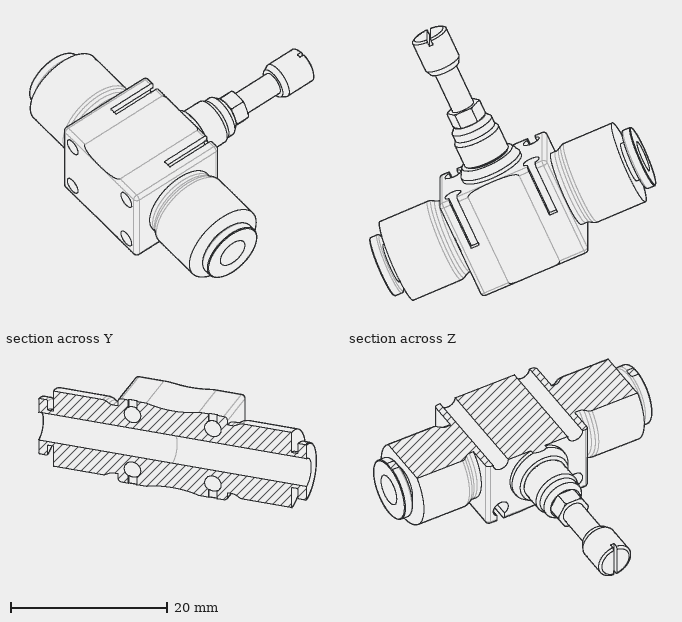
import cadquery as cq
import math


body_length = 15.0
body_height = 12.1
body_front_y = -7.18
body_back_y = 6.48
body_edge_radius = 0.5

waist_half_width = 3.6
waist_depth = 0.48

mount_hole_radius = 1.1
mount_hole_x = 5.5
mount_hole_z = 4.0
slot_width = 1.1
slot_length = 6.95

overall_length = 36.6
bore_radius = 2.0
sleeve_radius = 5.5
release_ring_radius = 4.05
release_ring_width = 1.25
release_ring_front_chamfer = 0.1
release_ring_rear_radius = 0.22
release_neck_radius = 2.6
release_neck_length = 0.77
sleeve_length = 6.75
shoulder_angle = math.radians(30)
shoulder_outer_radius = 0.88
shoulder_inner_radius = 1.1
shoulder_taper_length = 0.45

flange_radius = 4.15
flange_top_radius = 3.55
flange_taper_y = 7.0
flange_top_y = 8.05
groove_radius = 2.9
housing_radius = 3.08
housing_start_y = 8.25
housing_end_y = 11.3
collar_radius = 2.8
collar_start_y = 11.83
collar_taper_y = 12.8
collar_end_radius = 2.2
nut_start_y = 13.5
nut_end_y = 15.55
nut_across_flats = 4.0
nut_corner_chamfer = 0.15
stem_radius = 1.5
knob_radius = 2.38
knob_rim_radius = 2.0
knob_start_y = 21.3
knob_taper_length = 0.77
knob_end_y = 26.32
knob_top_chamfer_length = 0.22
driver_slot_width = 0.5
driver_slot_depth = 0.8

body_mid_y = (body_front_y + body_back_y) / 2
body_depth = body_back_y - body_front_y


def cylinder_along_y(radius, start_y, end_y, x=0.0, z=0.0):
    base = cq.Workplane("XZ", origin=(x, start_y, z))
    return base.circle(radius).extrude(start_y - end_y)


def make_body():
    block = cq.Workplane("XY").box(body_length, body_depth, body_height)
    block = block.edges().fillet(body_edge_radius).translate((0, body_mid_y, 0))

    waist_radius = (waist_half_width**2 + waist_depth**2) / (2 * waist_depth)
    waist_axis_z = body_height / 2 - waist_depth + waist_radius
    for side in (1, -1):
        waist = cylinder_along_y(waist_radius, body_front_y, body_back_y, z=side * waist_axis_z)
        block = block.cut(waist)
    return block


def cut_mounting_holes(part):
    """Four through holes, each opened to its nearest Z face by a slot from the back."""
    slot_depth = body_height / 2 - mount_hole_z
    for side_x in (1, -1):
        for side_z in (1, -1):
            x = side_x * mount_hole_x
            z = side_z * mount_hole_z
            part = part.cut(cylinder_along_y(mount_hole_radius, body_front_y, body_back_y, x, z))
            slot = cq.Workplane("XY").box(slot_width, slot_length, slot_depth)
            slot_mid_z = side_z * (mount_hole_z + slot_depth / 2)
            part = part.cut(slot.translate((x, body_back_y - slot_length / 2, slot_mid_z)))
    return part


def make_fitting():
    """Fitting on the +X end, turned about X."""
    ring_end_x = overall_length / 2
    ring_rear_x = ring_end_x - release_ring_width
    sleeve_end_x = ring_rear_x - release_neck_length
    round_start_x = sleeve_end_x - sleeve_length

    sin_full = math.sin(shoulder_angle)
    cos_full = math.cos(shoulder_angle)
    sin_half = math.sin(shoulder_angle / 2)
    cos_half = math.cos(shoulder_angle / 2)
    taper_start_x = round_start_x - shoulder_outer_radius * sin_full
    taper_start_r = sleeve_radius - shoulder_outer_radius * (1 - cos_full)
    outer_mid_x = round_start_x - shoulder_outer_radius * sin_half
    outer_mid_r = sleeve_radius - shoulder_outer_radius * (1 - cos_half)
    taper_end_x = taper_start_x - shoulder_taper_length
    taper_end_r = taper_start_r - shoulder_taper_length * math.tan(shoulder_angle)
    neck_x = taper_end_x - shoulder_inner_radius * sin_full
    neck_r = taper_end_r - shoulder_inner_radius * (1 - cos_full)
    inner_mid_x = neck_x + shoulder_inner_radius * sin_half
    inner_mid_r = neck_r + shoulder_inner_radius * (1 - cos_half)

    rear_round = release_ring_rear_radius
    rear_mid_inset = rear_round * (1 - math.sqrt(0.5))
    profile = (
        cq.Workplane("XY")
        .moveTo(0, 0)
        .lineTo(ring_end_x, 0)
        .lineTo(ring_end_x, release_ring_radius - release_ring_front_chamfer)
        .lineTo(ring_end_x - release_ring_front_chamfer, release_ring_radius)
        .lineTo(ring_rear_x + rear_round, release_ring_radius)
        .threePointArc(
            (ring_rear_x + rear_mid_inset, release_ring_radius - rear_mid_inset),
            (ring_rear_x, release_ring_radius - rear_round),
        )
        .lineTo(ring_rear_x, release_neck_radius)
        .lineTo(sleeve_end_x, release_neck_radius)
        .lineTo(sleeve_end_x, sleeve_radius)
        .lineTo(round_start_x, sleeve_radius)
        .threePointArc((outer_mid_x, outer_mid_r), (taper_start_x, taper_start_r))
        .lineTo(taper_end_x, taper_end_r)
        .threePointArc((inner_mid_x, inner_mid_r), (neck_x, neck_r))
        .lineTo(0, neck_r)
        .close()
    )
    return profile.revolve(360, (0, 0, 0), (1, 0, 0))


def make_nut():
    """Hexagon nut with flats facing +Z and -Z and its corners turned off at both ends."""
    corner_radius = nut_across_flats / math.sqrt(3)
    length = nut_end_y - nut_start_y
    base = cq.Workplane("XZ", origin=(0, nut_start_y, 0))
    hexagon = base.polygon(6, 2 * corner_radius).extrude(-length)
    envelope = base.circle(corner_radius).extrude(-length)
    envelope = envelope.edges().chamfer(nut_corner_chamfer)
    return hexagon.intersect(envelope)


def make_needle():
    """Needle housing, stem and knob turned about Y, with the nut added."""
    outline = [
        (0, 0),
        (flange_radius, 0),
        (flange_radius, flange_taper_y),
        (flange_top_radius, flange_top_y),
        (groove_radius, flange_top_y),
        (groove_radius, housing_start_y),
        (housing_radius, housing_start_y),
        (housing_radius, housing_end_y),
        (collar_radius, collar_start_y),
        (collar_radius, collar_taper_y),
        (collar_end_radius, nut_start_y),
        (stem_radius, nut_start_y),
        (stem_radius, knob_start_y),
        (knob_rim_radius, knob_start_y),
        (knob_radius, knob_start_y + knob_taper_length),
        (knob_radius, knob_end_y - knob_top_chamfer_length),
        (knob_rim_radius, knob_end_y),
        (0, knob_end_y),
    ]
    turned = cq.Workplane("XY").polyline(outline).close().revolve(360, (0, 0, 0), (0, 1, 0))

    driver_slot = cq.Workplane("XY").box(driver_slot_width, driver_slot_depth, 2 * knob_radius)
    driver_slot = driver_slot.translate((0, knob_end_y - driver_slot_depth / 2, 0))
    return turned.cut(driver_slot).union(make_nut())


fitting = make_fitting()
valve = make_body().union(fitting).union(fitting.mirror("YZ")).union(make_needle())
valve = cut_mounting_holes(valve)

flow_bore = cq.Workplane("YZ").circle(bore_radius).extrude(overall_length / 2, both=True)
result = valve.cut(flow_bore)